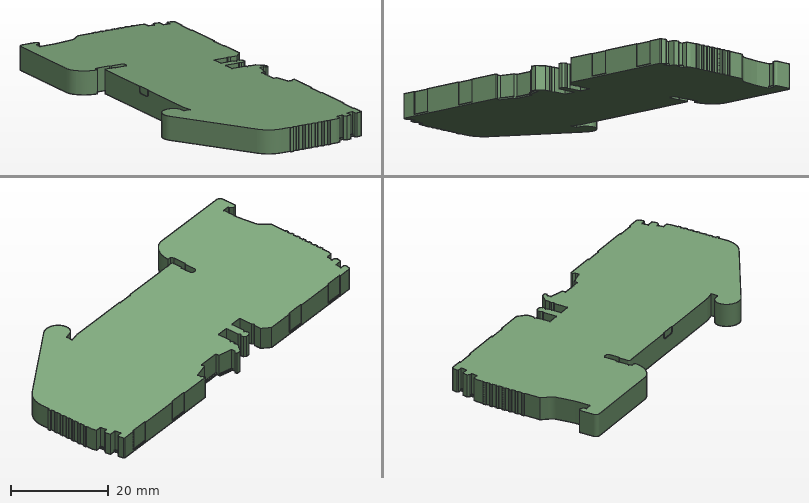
import cadquery as cq
import math

length = 78.35
height = 36.05
thickness = 5.2

ledge_height = 0.4
ledge_depth = 0.3

wall_inset = 0.5
right_wall_bottom_x = 78.05
tooth_count = 7
tooth_pitch = 1.52
tooth_width = 0.6
tooth_root_depth = 0.95
tooth_tip_inset = 0.2
top_tooth_y = 27.1
upper_notch_top_y = 34.4
upper_notch_bottom_y = 33.0
upper_notch_top_x = 2.8
upper_notch_bottom_x = 2.6
lower_notch_top_y = 31.35
lower_notch_bottom_y = 29.9
end_wall_top_y = 29.0
lower_notch_top_x = 1.9
lower_notch_bottom_x = 1.65

underside_y = 6.35
foot_hook_y = 4.5
foot_floor_y = 3.8
foot_floor_left_x = 1.4
foot_hook_width = 0.9
foot_waist_x = 2.9
foot_waist_y = 7.05
foot_bottom_end_x = 19.05
foot_corner_radius = 0.95
foot_hook_radius = 0.5
foot_lip_x = 23.0
foot_lip_y = 4.9
toe_lower_middle = (20.3, 0.3)
toe_joint = (21.2, 0.95)
toe_upper_middle = (22.5, 2.6)
left_wall_bottom_y = 13.95
waist_arc_start = (1.65, 12.5)
waist_arc_middle = (2.1, 11.9)
waist_arc_end = (2.35, 11.05)
waist_bend = (2.7, 8.9)
slot_left_x = 22.2
slot_right_x = 23.7
slot_top_y = 11.75
slot_top_radius = 0.5
slot_relief = 0.2
slot_mouth_radius = 0.4
slot_step_y = 8.85
slot_relief_top_y = 8.5
slot_relief_bottom_y = 5.65

nose_radius = 3.0
nose_x = 57.0
nose_y = 3.2
nose_shoulder_radius = 1.9
hook_wall_x = 56.7
hook_wall_bottom_y = 5.25
hook_angle = math.radians(32)
right_corner_radius = 5.2
underside_relief_width = 2.1
underside_relief_depth = 0.4

pillar_x = 33.1
pillar_half_width = 0.9
pillar_top_y = 33.9
pillar_chamfer = 0.5
opening_half_width = 3.5
opening_right_step = 0.2
opening_bottom_y = 29.0
opening_mouth_y = 34.5
opening_mouth_half_width = 5.2
opening_step_y = 33.4
nick_y = 32.5
nick_half_height = 0.4
nick_depth = 0.3

valley_x = 44.4
valley_mouth_half_width = 5.2
valley_undercut_half_width = 5.6
valley_lip_y = 35.6
valley_undercut_y = 35.2
valley_shoulder_y = 34.6
valley_step_half_width = 2.35
valley_step_y = 33.85
valley_floor_y = 33.1

label_width = 3.9
label_depth = 0.2
label_starts = (5.25, 18.0)
mark_x = 38.95
mark_width = 3.2
mark_height = 1.5
mark_depth = 0.15
mark_chamfer = 0.3


def prism(points, bottom=0.0):
    """Closed outline extruded from the given level up to the top face."""
    return cq.Workplane("XY").workplane(offset=bottom).polyline(points).close().extrude(thickness - bottom)


def block(x_start, x_end, y_start, y_end, bottom=0.0):
    """Rectangular prism between the given X and Y limits."""
    return prism([(x_start, y_start), (x_end, y_start), (x_end, y_end), (x_start, y_end)], bottom)


def mirrored_x(points):
    """The same points reflected about the middle of the length."""
    return [(length - x, y) for x, y in points]


def round_corner(body, x, y, radius):
    """Round the upright edge that stands at (x, y)."""
    reach = 0.04
    corner = cq.selectors.BoxSelector((x - reach, y - reach, -reach), (x + reach, y + reach, thickness + reach))
    return body.edges("|Z").edges(corner).fillet(radius)


end_steps = [
    (2.35, height),
    (2.1, 35.8),
    (1.9, 34.7),
    (2.1, upper_notch_top_y),
    (upper_notch_top_x, upper_notch_top_y),
    (upper_notch_bottom_x, upper_notch_bottom_y),
    (1.4, upper_notch_bottom_y),
    (1.2, 31.9),
    (1.6, lower_notch_top_y),
    (lower_notch_top_x, lower_notch_top_y),
    (lower_notch_bottom_x, lower_notch_bottom_y),
    (0.7, lower_notch_bottom_y),
    (wall_inset, end_wall_top_y),
]


def make_body():
    """Plate outline without the teeth and the openings in the top edge."""
    nose_end_x = nose_x + nose_radius * math.sin(hook_angle)
    nose_end_y = nose_y - nose_radius * math.cos(hook_angle)
    hook_corner_y = nose_end_y + (right_wall_bottom_x - nose_end_x) * math.tan(hook_angle)
    nose_left_x = nose_x - nose_radius
    half_turn = (math.pi / 2 + hook_angle) / 2
    nose_middle = (nose_x - nose_radius * math.cos(half_turn), nose_y - nose_radius * math.sin(half_turn))
    shoulder = (nose_left_x + nose_shoulder_radius, nose_y + nose_shoulder_radius)
    shoulder_sagitta = nose_shoulder_radius * (1 - math.sqrt(0.5))
    shoulder_middle = (nose_left_x + shoulder_sagitta, shoulder[1] - shoulder_sagitta)

    outline = cq.Workplane("XY").moveTo(*end_steps[0])
    for point in end_steps[1:]:
        outline = outline.lineTo(*point)
    outline = (
        outline
        .lineTo(wall_inset, left_wall_bottom_y)
        .lineTo(*waist_arc_start)
        .threePointArc(waist_arc_middle, waist_arc_end)
        .lineTo(*waist_bend)
        .lineTo(foot_waist_x, foot_waist_y)
        .lineTo(foot_waist_x, foot_floor_y)
        .lineTo(foot_floor_left_x, foot_floor_y)
        .lineTo(foot_hook_width, foot_hook_y)
        .lineTo(0, foot_hook_y)
        .lineTo(0, 0)
        .lineTo(foot_bottom_end_x, 0)
        .threePointArc(toe_lower_middle, toe_joint)
        .threePointArc(toe_upper_middle, (foot_lip_x, foot_lip_y))
        .lineTo(slot_left_x, foot_lip_y)
        .lineTo(slot_left_x - slot_relief, slot_relief_bottom_y)
        .lineTo(slot_left_x - slot_relief, slot_relief_top_y)
        .lineTo(slot_left_x, slot_step_y)
        .lineTo(slot_left_x, slot_top_y)
        .lineTo(slot_right_x, slot_top_y)
        .lineTo(slot_right_x, slot_step_y)
        .lineTo(slot_right_x - slot_relief, slot_step_y)
        .lineTo(slot_right_x - slot_relief, underside_y)
        .lineTo(hook_wall_x - underside_relief_width, underside_y)
        .lineTo(hook_wall_x, underside_y + underside_relief_depth)
        .lineTo(hook_wall_x, hook_wall_bottom_y)
        .lineTo(*shoulder)
        .threePointArc(shoulder_middle, (nose_left_x, nose_y))
        .threePointArc(nose_middle, (nose_end_x, nose_end_y))
        .lineTo(right_wall_bottom_x, hook_corner_y)
    )
    for point in reversed(mirrored_x(end_steps)):
        outline = outline.lineTo(*point)
    body = outline.close().extrude(thickness)

    body = round_corner(body, 0, 0, foot_corner_radius)
    body = round_corner(body, 0, foot_hook_y, foot_hook_radius)
    body = round_corner(body, slot_left_x, slot_top_y, slot_top_radius)
    body = round_corner(body, slot_right_x, slot_top_y, slot_top_radius)
    body = round_corner(body, slot_right_x - slot_relief, underside_y, slot_mouth_radius)
    return round_corner(body, right_wall_bottom_x, hook_corner_y, right_corner_radius)


def add_teeth(body):
    """Row of upright grip teeth on both end walls; the lowest right tooth reaches the full length."""
    for index in range(tooth_count):
        y_top = top_tooth_y - index * tooth_pitch + tooth_width / 2
        y_bottom = y_top - tooth_width
        is_last = index == tooth_count - 1
        right_tip_x = length if is_last else length - tooth_tip_inset
        body = body.union(block(tooth_tip_inset, tooth_root_depth, y_bottom, y_top))
        body = body.union(block(length - tooth_root_depth, right_tip_x, y_bottom, y_top))
    return body


def cut_notch_setbacks(body):
    """Deepen the end notches and the foot groove above the bottom ledge."""
    notches = [
        (upper_notch_top_x, upper_notch_top_y, upper_notch_bottom_x, upper_notch_bottom_y),
        (lower_notch_top_x, lower_notch_top_y, lower_notch_bottom_x, lower_notch_bottom_y),
    ]
    for top_x, top_y, bottom_x, bottom_y in notches:
        setback = [
            (top_x, top_y),
            (top_x + ledge_depth, top_y),
            (bottom_x + ledge_depth, bottom_y),
            (bottom_x, bottom_y),
        ]
        body = body.cut(prism(setback, ledge_height))
        body = body.cut(prism(mirrored_x(setback), ledge_height))
    groove_bottom_y = foot_floor_y - ledge_depth
    return body.cut(block(foot_floor_left_x, foot_waist_x, groove_bottom_y, foot_floor_y, ledge_height))


def cut_twin_slot(body):
    """Flared opening in the top edge, divided by a pillar, with nicks in its walls."""
    left_x = pillar_x - opening_half_width
    right_x = pillar_x + opening_half_width
    opening = prism([
        (pillar_x - opening_mouth_half_width, height),
        (left_x, opening_mouth_y),
        (left_x, opening_bottom_y),
        (right_x, opening_bottom_y),
        (right_x, opening_step_y),
        (right_x + opening_right_step, opening_step_y),
        (right_x + opening_right_step, opening_mouth_y),
        (pillar_x + opening_mouth_half_width, height),
    ])
    pillar = block(pillar_x - pillar_half_width, pillar_x + pillar_half_width, opening_bottom_y, pillar_top_y)
    pillar = pillar.edges("|Z and >Y").chamfer(pillar_chamfer)
    body = body.cut(opening.cut(pillar))

    nicks = [
        (left_x, -1),
        (pillar_x - pillar_half_width, 1),
        (pillar_x + pillar_half_width, -1),
        (right_x, 1),
    ]
    for wall_x, direction in nicks:
        body = body.cut(prism([
            (wall_x, nick_y - nick_half_height),
            (wall_x + direction * nick_depth, nick_y),
            (wall_x, nick_y + nick_half_height),
        ]))
    return body


def valley_points(drop):
    """Valley outline with its shoulders and floor lowered by the given drop."""
    right_half = [
        (valley_step_half_width, valley_floor_y - drop),
        (valley_step_half_width, valley_step_y - drop),
        (valley_undercut_half_width, valley_shoulder_y - drop),
        (valley_undercut_half_width, valley_undercut_y),
        (valley_mouth_half_width, valley_lip_y),
        (valley_mouth_half_width, height),
    ]
    right = [(valley_x + offset, y) for offset, y in right_half]
    left = [(valley_x - offset, y) for offset, y in reversed(right_half)]
    return right + left


def cut_valley(body):
    """Cut the valley, leaving its thin bottom ledge."""
    body = body.cut(prism(valley_points(0)))
    return body.cut(prism(valley_points(ledge_depth), ledge_height))


def cut_labels(body):
    """Shallow label recesses in the top edge, alike on both halves."""
    for start in label_starts:
        for x_start in (start, length - start - label_width):
            x_end = x_start + label_width
            body = body.cut(block(x_start, x_end, height - label_depth, height, ledge_height))
    return body


def cut_mark(body):
    """Shallow chamfered recess in the underside, open at the top face."""
    mark = block(
        mark_x - mark_width / 2,
        mark_x + mark_width / 2,
        underside_y,
        underside_y + mark_depth,
        thickness - mark_height,
    )
    return body.cut(mark.edges("|Y and <Z").chamfer(mark_chamfer))


result = make_body()
result = add_teeth(result)
result = cut_notch_setbacks(result)
result = cut_twin_slot(result)
result = cut_valley(result)
result = cut_labels(result)
result = cut_mark(result)